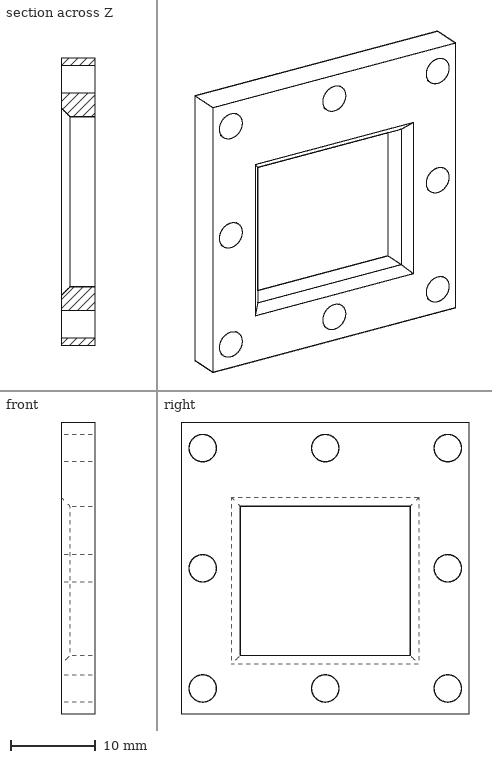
import cadquery as cq

thickness = 4.0
width = 34.0
height = 34.5

window_width = 20.08
window_height = 17.63
window_drop = 1.5
window_chamfer = 1.05

hole_diameter = 3.2
hole_offset_y = 14.5
hole_offset_z = 14.2

plate = cq.Workplane("XY").box(thickness, width, height)

window = cq.Workplane("XY").box(thickness, window_width, window_height).translate((0, 0, -window_drop))
rim_chamfer = (
    cq.Workplane("YZ", origin=(-thickness / 2, 0, -window_drop))
    .rect(window_width + 2 * window_chamfer, window_height + 2 * window_chamfer)
    .workplane(offset=window_chamfer)
    .rect(window_width, window_height)
    .loft(ruled=True)
)

hole_positions = [
    (column * hole_offset_y, row * hole_offset_z)
    for column in (-1, 0, 1)
    for row in (-1, 0, 1)
    if (column, row) != (0, 0)
]
holes = (
    cq.Workplane("YZ", origin=(-thickness / 2, 0, 0))
    .pushPoints(hole_positions)
    .circle(hole_diameter / 2)
    .extrude(thickness)
)

result = plate.cut(window).cut(rim_chamfer).cut(holes)